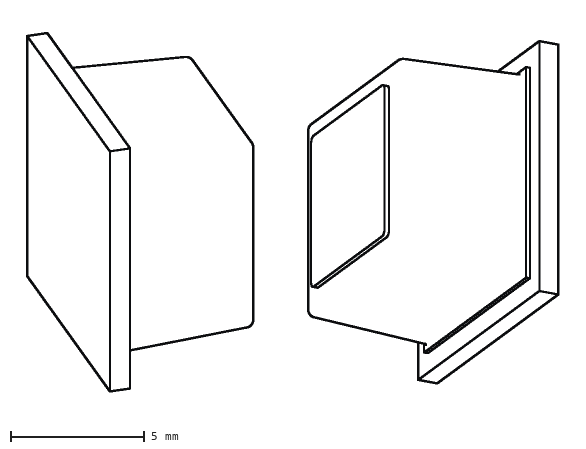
import cadquery as cq
import math

plate_side = 10.1
plate_thickness = 0.8

step_side = 8.5
step_thickness = 0.15

body_base_side = 8.18
draft_angle = 2
body_back = 6.11
body_edge_radius = 0.3
root_fillet_radius = 0.15

pad_side = 6.1
pad_height = 0.19
pad_corner_radius = 0.2


def square_block(side, start, depth):
    """Square block centred on the Y axis, running from start toward +Y."""
    return cq.Workplane("XY").box(side, depth, side, centered=(True, False, True)).translate((0, start, 0))


def tapered_body(start, end):
    """Drafted square body with rounded long edges and back rim."""
    depth = end - start
    back_side = body_base_side - 2 * depth * math.tan(math.radians(draft_angle))
    base = cq.Workplane("XZ", origin=(0, start, 0)).rect(body_base_side, body_base_side)
    body = base.workplane(offset=-depth).rect(back_side, back_side).loft(ruled=True)
    return body.edges("not <Y").fillet(body_edge_radius)


plate = square_block(plate_side, 0, plate_thickness)
step = square_block(step_side, plate_thickness, step_thickness)

body_start = plate_thickness + step_thickness
body = tapered_body(body_start, body_back)

half_step = step_side / 2
edge_margin = 0.01
joint_reach = half_step - edge_margin
joint_depth = 0.01
housing = step.union(body)
joint = cq.selectors.BoxSelector(
    (-joint_reach, body_start - joint_depth, -joint_reach),
    (joint_reach, body_start + joint_depth, joint_reach),
)
housing = housing.edges(joint).fillet(root_fillet_radius)

pad = square_block(pad_side, body_back, pad_height).edges("|Y").fillet(pad_corner_radius)

result = plate.union(housing).union(pad)